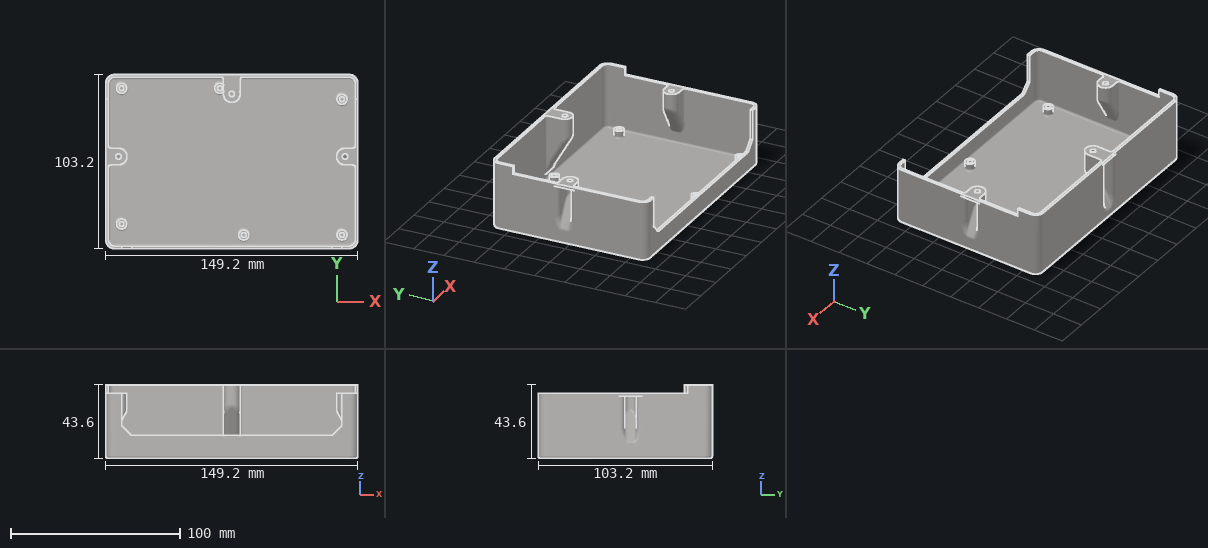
import math
import cadquery as cq

selection_margin = 0.05

length = 149.2
width = 103.2
height = 43.6
wall = 1.6
corner_radius = 5.4
edge_radius = 1.5
floor_fillet = 1.6

rim_drop = 5.0
side_rim_height = height - rim_drop
raised_rim_depth = 14.6

opening_width = 130.0
opening_sill = 13.6
opening_chamfer = 5.7

boss_radius = 5.0
boss_underside_angle = math.radians(60)
boss_top_thickness = 1.9
underside_fillet = 2 * wall
screw_hole_diameter = 3.2
side_boss_reach = 7.6
side_boss_y = 3.0
side_boss_drop = 10.5
rear_boss_reach = 11.6
rear_boss_drop = 12.6

standoff_diameter = 6.0
standoff_hole_diameter = 2.85
standoff_height = 5.0
standoff_fillet = 1.5
standoff_x = 65.2
standoff_mid_x = 7.1
standoff_outer_y = 43.4
standoff_inner_y = 36.9
standoff_points = [
    (-standoff_x, standoff_outer_y),
    (-standoff_mid_x, standoff_outer_y),
    (standoff_x, standoff_inner_y),
    (-standoff_x, -standoff_inner_y),
    (standoff_mid_x, -standoff_outer_y),
    (standoff_x, -standoff_outer_y),
]


def make_shell():
    """Rounded box with an open top and a filleted inner floor."""
    body = cq.Workplane("XY").box(length, width, height, centered=(True, True, False))
    body = body.edges("|Z").fillet(corner_radius)
    body = body.faces("<Z").edges().fillet(edge_radius)
    cavity = (
        cq.Workplane("XY")
        .workplane(offset=wall)
        .rect(length - 2 * wall, width - 2 * wall)
        .extrude(height)
        .edges("|Z")
        .fillet(corner_radius - wall)
        .faces("<Z")
        .edges()
        .fillet(floor_fillet)
    )
    return body.cut(cavity)


def lower_rim(body):
    """Remove the top of the walls in front of the raised rear strip."""
    cut_width = width - raised_rim_depth
    rim_cut = cq.Workplane("XY").box(length, cut_width, rim_drop, centered=(True, False, False))
    return body.cut(rim_cut.translate((0, -width / 2, side_rim_height)))


def cut_front_opening(body):
    """Cut the wide opening with chamfered lower corners through the front wall."""
    opening = (
        cq.Workplane("XY")
        .box(opening_width, 2 * wall, height, centered=(True, True, False))
        .edges("|Y and <Z")
        .chamfer(opening_chamfer)
    )
    return body.cut(opening.translate((0, -width / 2, opening_sill)))


def tongue_plan(reach, radius, root, flare):
    """Outline of a round-ended tongue from the line y = root to an arc centred on y = -reach.

    A flare above zero rounds the two corners at the root with concave arcs.
    """
    outline = cq.Workplane("XY").moveTo(-radius - flare, root)
    if flare > 0:
        outline = outline.radiusArc((-radius, root - flare), flare)
    outline = (
        outline.lineTo(-radius, -reach)
        .threePointArc((0, -reach - radius), (radius, -reach))
        .lineTo(radius, root - flare)
    )
    if flare > 0:
        outline = outline.radiusArc((radius + flare, root), flare)
    return outline.close()


def make_tongue(reach, radius, root, top, tip_height, underside_radius, flare=0):
    """Tongue with a flat top, a sloping underside and a fillet around the underside.

    The slope meets the tip of the tongue at tip_height and falls toward the root.
    """
    slope = math.tan(boss_underside_angle)
    tip = -reach - radius
    root_height = tip_height - slope * (root - tip)
    side_profile = (
        cq.Workplane("YZ")
        .moveTo(root, root_height)
        .lineTo(tip, tip_height)
        .lineTo(tip, top)
        .lineTo(root, top)
        .close()
        .extrude(radius + flare, both=True)
    )
    tongue = tongue_plan(reach, radius, root, flare).extrude(top).intersect(side_profile)
    half_span = 2 * (radius + flare)
    clear_of_root_and_top = cq.selectors.BoxSelector(
        (-half_span, 2 * tip, 0), (half_span, root - selection_margin, top - selection_margin)
    )
    return tongue.edges(clear_of_root_and_top).edges("not |Z").fillet(underside_radius)


def blend_root(tongue, radius, root, top, root_radius):
    """Back the tongue with a slab behind y = root and fillet the joint, except along the top."""
    slab_width = 2 * (radius + 2 * root_radius)
    slab = (
        cq.Workplane("XY")
        .box(slab_width, wall, top - edge_radius, centered=(True, False, False))
        .translate((0, root, edge_radius))
    )
    half_span = radius + selection_margin
    joint = cq.selectors.BoxSelector(
        (-half_span, root - selection_margin, edge_radius + selection_margin),
        (half_span, root + selection_margin, top - selection_margin),
    )
    return tongue.union(slab).edges(joint).fillet(root_radius)


def make_hollow(reach, top, tip_height):
    """Recess that leaves an even wall under the boss, with the screw hole above it."""
    radius = boss_radius - wall
    hollow_top = top - boss_top_thickness
    slope = math.tan(boss_underside_angle)
    hollow_tip_height = tip_height - wall * slope + wall / math.cos(boss_underside_angle)
    hollow = make_tongue(reach, radius, 0, hollow_top, hollow_tip_height, underside_fillet - wall)
    hollow = blend_root(hollow, radius, 0, hollow_top, 2 * wall)
    screw_hole = (
        cq.Workplane("XY", origin=(0, -reach, hollow_top - wall))
        .circle(screw_hole_diameter / 2)
        .extrude(2 * boss_top_thickness)
    )
    return hollow.union(screw_hole)


def add_rear_boss(body):
    """Long boss on the rear wall; its flared root runs straight down to the slope."""
    tip_height = height - rear_boss_drop
    boss = make_tongue(
        rear_boss_reach, boss_radius, -wall, height, tip_height, underside_fillet, flare=wall
    )
    hollow = make_hollow(rear_boss_reach, height, tip_height)
    rear_face = (0, width / 2, 0)
    return body.union(boss.translate(rear_face)).cut(hollow.translate(rear_face))


def add_side_boss(body, side):
    """Short boss on the -X wall (side = -1) or the +X wall (side = 1), blended all round."""
    top = side_rim_height
    tip_height = top - side_boss_drop
    boss = make_tongue(side_boss_reach, boss_radius, -wall, top, tip_height, underside_fillet)
    boss = blend_root(boss, boss_radius, -wall, top, wall)
    hollow = make_hollow(side_boss_reach, top, tip_height)

    def place(feature):
        turned = feature.rotate((0, 0, 0), (0, 0, 1), -90 * side)
        return turned.translate((side * length / 2, side_boss_y, 0))

    return body.union(place(boss)).cut(place(hollow))


def make_standoff():
    """Round post with a flared foot; the screw hole ends at the floor surface."""
    post_radius = standoff_diameter / 2
    foot_radius = post_radius + standoff_fillet
    arc_middle = standoff_fillet * (1 - math.sqrt(0.5))
    return (
        cq.Workplane("XZ")
        .moveTo(standoff_hole_diameter / 2, 0)
        .lineTo(foot_radius, 0)
        .threePointArc((post_radius + arc_middle, arc_middle), (post_radius, standoff_fillet))
        .lineTo(post_radius, standoff_height)
        .lineTo(standoff_hole_diameter / 2, standoff_height)
        .close()
        .revolve(360, (0, 0, 0), (0, 1, 0))
    )


def add_standoffs(body):
    """Set one standoff on the floor at every mounting point."""
    for x, y in standoff_points:
        body = body.union(make_standoff().translate((x, y, wall)))
    return body


result = make_shell()
result = lower_rim(result)
result = cut_front_opening(result)
result = add_rear_boss(result)
for side in (-1, 1):
    result = add_side_boss(result, side)
result = add_standoffs(result)